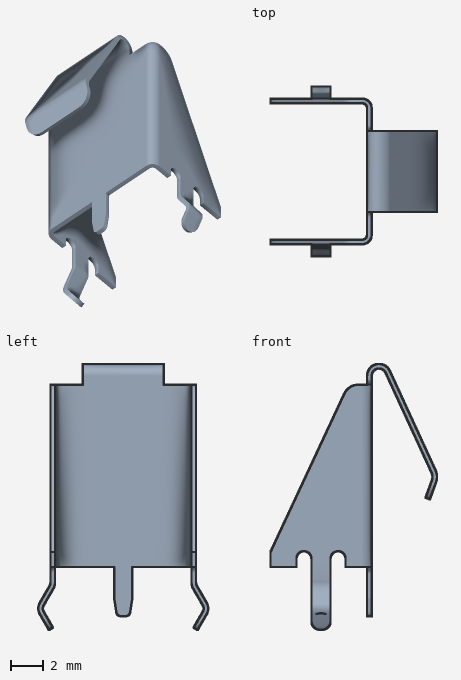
import cadquery as cq
import math

SHEET = 0.3

CHANNEL_DEPTH = 6.33
CHANNEL_WIDTH = 9.1
CHANNEL_HEIGHT = 11.4
CHANNEL_BEND = 0.45
FRONT_EDGE_HEIGHT = 0.95
SLOPE_ANGLE = 25.0
SLOPE_TOP_RADIUS = 1.0

TAB_WIDTH = 1.21
TAB_CENTRE_X = -3.17
TAB_STRAIGHT = 0.94
TAB_ANGLE = 30.0
TAB_ROOT_BEND = 0.65
TAB_KNEE_BEND = 0.55
TAB_REACH_Y = 5.31
TAB_BOTTOM_Z = -3.92
SLOT_WIDTH = 0.92
SLOT_HEIGHT = 0.99

PIN_WIDTH = 1.15
PIN_TIP_WIDTH = 0.8
PIN_TAPER_START = 1.93
PIN_LENGTH = 3.07
PIN_TIP_RADIUS = 0.32

SPRING_WIDTH = 5.07
SPRING_TOP_Z = 12.69
SPRING_HOOK_BEND = 0.6
SPRING_ANGLE = 24.7
SPRING_TIP_ANGLE = 20.0
SPRING_KNEE_BEND = 0.8
SPRING_REACH_X = 4.08
SPRING_TIP_Z = 4.23
SPRING_CORNER_RADIUS = 0.95


def direction(heading):
    angle = math.radians(heading)
    return cq.Vector(math.cos(angle), math.sin(angle))


def left_of(heading):
    return direction(heading + 90)


def bent_strip(plane, start, heading, steps):
    """Thick outline of a bent sheet, with the middle point and heading at its end.

    Each step is ("straight", length) or ("bend", radius, angle); left turns are positive.
    """
    half = SHEET / 2
    point = cq.Vector(*start)
    stations = [(point, heading)]
    middles = []
    for kind, size, *turn in steps:
        if kind == "straight":
            point = point + direction(heading) * size
            middles.append(None)
        else:
            side = math.copysign(1, turn[0])
            centre = point + left_of(heading) * (side * size)
            middle_heading = heading + turn[0] / 2
            heading += turn[0]
            middles.append((centre - left_of(middle_heading) * (side * size), middle_heading))
            point = centre - left_of(heading) * (side * size)
        stations.append((point, heading))

    def face_point(station, offset):
        position, along = station
        return (position + left_of(along) * offset).toTuple()[:2]

    def draw(outline, middle, end, offset):
        if middle is None:
            return outline.lineTo(*face_point(end, offset))
        return outline.threePointArc(face_point(middle, offset), face_point(end, offset))

    outline = cq.Workplane(plane).moveTo(*face_point(stations[0], half))
    for middle, end in zip(middles, stations[1:]):
        outline = draw(outline, middle, end, half)
    outline = outline.lineTo(*face_point(stations[-1], -half))
    for middle, end in zip(reversed(middles), reversed(stations[:-1])):
        outline = draw(outline, middle, end, -half)
    return outline.close(), point, heading


def make_channel():
    side_length = CHANNEL_DEPTH - SHEET / 2 - CHANNEL_BEND
    side_y = (CHANNEL_WIDTH - SHEET) / 2
    outline, _, _ = bent_strip("XY", (-CHANNEL_DEPTH, side_y), 0, [
        ("straight", side_length),
        ("bend", CHANNEL_BEND, -90),
        ("straight", 2 * (side_y - CHANNEL_BEND)),
        ("bend", CHANNEL_BEND, -90),
        ("straight", side_length),
    ])
    channel = outline.extrude(CHANNEL_HEIGHT)

    slope_run = (CHANNEL_HEIGHT - FRONT_EDGE_HEIGHT) * math.tan(math.radians(SLOPE_ANGLE))
    slope_top_x = -CHANNEL_DEPTH + slope_run
    side_profile = (
        cq.Workplane("XZ")
        .polyline([
            (-CHANNEL_DEPTH, 0),
            (0, 0),
            (0, CHANNEL_HEIGHT),
            (slope_top_x, CHANNEL_HEIGHT),
            (-CHANNEL_DEPTH, FRONT_EDGE_HEIGHT),
        ])
        .close()
        .extrude(CHANNEL_WIDTH / 2, both=True)
        .edges(cq.selectors.NearestToPointSelector((slope_top_x, 0, CHANNEL_HEIGHT)))
        .fillet(SLOPE_TOP_RADIUS)
    )
    return channel.intersect(side_profile)


def make_relief_slots():
    spacing = (TAB_WIDTH + SLOT_WIDTH) / 2
    return (
        cq.Workplane("XZ")
        .pushPoints([(TAB_CENTRE_X - spacing, 0), (TAB_CENTRE_X + spacing, 0)])
        .slot2D(2 * SLOT_HEIGHT, SLOT_WIDTH, 90)
        .extrude(CHANNEL_WIDTH, both=True)
    )


def make_tab():
    """Tab on the +Y side: leans outwards, then back in to a rounded tip."""
    lean = math.radians(TAB_ANGLE)
    half = SHEET / 2
    start_y = (CHANNEL_WIDTH - SHEET) / 2
    bend_run = (TAB_ROOT_BEND + TAB_KNEE_BEND) * (1 - math.cos(lean))
    lean_length = (TAB_REACH_Y - half - start_y - bend_run) / math.sin(lean)
    knee_end_z = (
        -TAB_STRAIGHT
        - (TAB_ROOT_BEND + 2 * TAB_KNEE_BEND) * math.sin(lean)
        - lean_length * math.cos(lean)
    )
    tip_z = TAB_BOTTOM_Z + half * math.sin(lean)
    tip_radius = TAB_WIDTH / 2
    return_length = (knee_end_z - tip_z) / math.cos(lean) - tip_radius
    outline, end, _ = bent_strip("YZ", (start_y, 0), -90, [
        ("straight", TAB_STRAIGHT),
        ("bend", TAB_ROOT_BEND, TAB_ANGLE),
        ("straight", lean_length),
        ("bend", TAB_KNEE_BEND, -2 * TAB_ANGLE),
        ("straight", return_length),
    ])
    strip = outline.extrude(TAB_WIDTH / 2, both=True)
    sheet_normal = (0, math.cos(lean), -math.sin(lean))
    tip_plane = cq.Plane(origin=(0, end.x, end.y), xDir=(1, 0, 0), normal=sheet_normal)
    tip = cq.Workplane(tip_plane).circle(tip_radius).extrude(half, both=True)
    return strip.union(tip).translate((TAB_CENTRE_X, 0, 0))


def make_pin():
    return (
        cq.Workplane("YZ")
        .polyline([
            (-PIN_WIDTH / 2, 0),
            (-PIN_WIDTH / 2, -PIN_TAPER_START),
            (-PIN_TIP_WIDTH / 2, -PIN_LENGTH),
            (PIN_TIP_WIDTH / 2, -PIN_LENGTH),
            (PIN_WIDTH / 2, -PIN_TAPER_START),
            (PIN_WIDTH / 2, 0),
        ])
        .close()
        .extrude(-SHEET)
        .edges("|X and <Z")
        .fillet(PIN_TIP_RADIUS)
    )


def make_spring():
    lean = math.radians(SPRING_ANGLE)
    tip_lean = math.radians(SPRING_TIP_ANGLE)
    half = SHEET / 2
    hook_x = SPRING_HOOK_BEND - half
    hook_z = SPRING_TOP_Z - SPRING_HOOK_BEND - half
    radius_change = SPRING_KNEE_BEND - SPRING_HOOK_BEND
    knee_x = SPRING_REACH_X - SPRING_KNEE_BEND - half
    leaf_length = (knee_x - hook_x + radius_change * math.cos(lean)) / math.sin(lean)
    knee_z = hook_z - leaf_length * math.cos(lean) - radius_change * math.sin(lean)
    tip_start_z = knee_z - SPRING_KNEE_BEND * math.sin(tip_lean)
    tip_z = SPRING_TIP_Z + half * math.sin(tip_lean)
    outline, end, _ = bent_strip("XZ", (-half, CHANNEL_HEIGHT), 90, [
        ("straight", hook_z - CHANNEL_HEIGHT),
        ("bend", SPRING_HOOK_BEND, SPRING_ANGLE - 180),
        ("straight", leaf_length),
        ("bend", SPRING_KNEE_BEND, -SPRING_ANGLE - SPRING_TIP_ANGLE),
        ("straight", (tip_start_z - tip_z) / math.cos(tip_lean)),
    ])
    spring = outline.extrude(SPRING_WIDTH / 2, both=True)
    for side in (-1, 1):
        corner = (end.x, side * SPRING_WIDTH / 2, end.y)
        spring = spring.edges(cq.selectors.NearestToPointSelector(corner)).fillet(SPRING_CORNER_RADIUS)
    return spring


tab = make_tab()
result = (
    make_channel()
    .cut(make_relief_slots())
    .union(tab)
    .union(tab.mirror("XZ"))
    .union(make_pin())
    .union(make_spring())
)